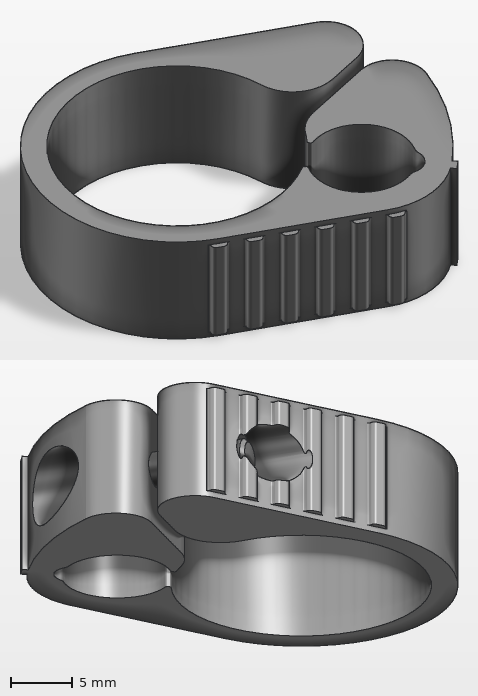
import cadquery as cq
import math

width = 10.0
ring_outer = 12.75
ring_inner = 10.6
crown_radius = 22.5
shoulder_radius = 7.0

screw_angle = math.radians(40)
gap = 1.2
lobe_tip_radius = 3.05
lobe_tip_height = 15.25
lobe_belly_radius = 4.0
nose_radius = 3.1
heel_radius = 3.8

small_bore_radius = 4.5
notch_radius = 1.55
notch_offset = 3.63
notch_blend = 1.0
mouth_width = 3.17
lip_round = 0.15

mark_width = 1.0
mark_height = 0.5

rib_count = 6
rib_pitch = 3.0
rib_height = 0.5
rib_flat = 0.55
rib_crest_radius = 0.42
rib_foot_radius = 0.2
rib_length = width - 2 * rib_height
rib_root = 0.7

screw_diameter = 3.0
screw_offset = -15.8
lobe_seat_diameter = 4.9
lobe_seat_depth = 6.27
hook_seat_diameter = 6.2
hook_seat_depth = 5.0
tip_length = 0.75
tip_chamfer = 0.3


def polar(radius, angle):
    return (radius * math.cos(angle), radius * math.sin(angle))


def offset_point(point, distance, angle):
    step = polar(distance, angle)
    return (point[0] + step[0], point[1] + step[1])


def middle_of_arc(center, radius, start, end):
    """Point halfway round the shorter arc that joins two points of a circle."""
    x = (start[0] + end[0]) / 2 - center[0]
    y = (start[1] + end[1]) / 2 - center[1]
    return offset_point(center, radius, math.atan2(y, x))


def angle_at(distance, depth):
    """Polar angle of a point at this distance from the origin and this depth along the screw axis."""
    return screw_angle + math.acos(depth / distance)


tip_center = (lobe_tip_radius - ring_outer, lobe_tip_height)
tip_along_screw = tip_center[0] * math.cos(screw_angle) + tip_center[1] * math.sin(screw_angle)
lobe_face = tip_along_screw + lobe_tip_radius
belly_distance = ring_inner + lobe_belly_radius
belly_angle = angle_at(belly_distance, lobe_face - lobe_belly_radius)
belly_center = polar(belly_distance, belly_angle)

hook_face = lobe_face + gap
nose_distance = crown_radius - nose_radius
nose_angle = angle_at(nose_distance, hook_face + nose_radius)
nose_center = polar(nose_distance, nose_angle)
heel_distance = ring_inner + heel_radius
heel_angle = angle_at(heel_distance, hook_face + heel_radius)
heel_center = polar(heel_distance, heel_angle)

shoulder_x = ring_outer - shoulder_radius
shoulder_distance = crown_radius - shoulder_radius
bore_angle = math.acos(shoulder_x / shoulder_distance)
shoulder_center = polar(shoulder_distance, bore_angle)

small_bore_distance = ring_inner + small_bore_radius


def body():
    lobe_start = (-ring_outer, lobe_tip_height)
    lobe_face_top = offset_point(tip_center, lobe_tip_radius, screw_angle)
    lobe_face_end = offset_point(belly_center, lobe_belly_radius, screw_angle)
    belly_end = polar(ring_inner, belly_angle)
    heel_start = polar(ring_inner, heel_angle)
    hook_face_end = offset_point(heel_center, -heel_radius, screw_angle)
    hook_face_top = offset_point(nose_center, -nose_radius, screw_angle)
    nose_end = polar(crown_radius, nose_angle)
    crown_end = polar(crown_radius, bore_angle)
    flank_top = (ring_outer, shoulder_center[1])
    tip_crest = offset_point(tip_center, lobe_tip_radius, math.pi / 2)
    belly_middle = middle_of_arc(belly_center, lobe_belly_radius, lobe_face_end, belly_end)
    heel_middle = middle_of_arc(heel_center, heel_radius, heel_start, hook_face_end)
    nose_middle = middle_of_arc(nose_center, nose_radius, hook_face_top, nose_end)
    shoulder_middle = middle_of_arc(shoulder_center, shoulder_radius, crown_end, flank_top)
    return (
        cq.Workplane("XY", origin=(0, 0, -width / 2))
        .moveTo(-ring_outer, 0)
        .lineTo(*lobe_start)
        .threePointArc(tip_crest, lobe_face_top)
        .lineTo(*lobe_face_end)
        .threePointArc(belly_middle, belly_end)
        .threePointArc((0, -ring_inner), heel_start)
        .threePointArc(heel_middle, hook_face_end)
        .lineTo(*hook_face_top)
        .threePointArc(nose_middle, nose_end)
        .threePointArc((0, crown_radius), crown_end)
        .threePointArc(shoulder_middle, flank_top)
        .lineTo(ring_outer, 0)
        .threePointArc((0, -ring_outer), (-ring_outer, 0))
        .close()
        .extrude(width)
    )


def upright_box(inner, outer, breadth):
    """Full-width block on the small bore line, between two distances from the ring centre."""
    block = cq.Workplane("XY").box(outer - inner, breadth, width)
    block = block.translate(((inner + outer) / 2, 0, 0))
    return block.rotate((0, 0, 0), (0, 0, 1), math.degrees(bore_angle))


def upright_cylinder(distance, radius):
    """Full-width cylinder on the small bore line."""
    center = polar(distance, bore_angle)
    return cq.Workplane("XY").circle(radius).extrude(width / 2, both=True).translate((*center, 0))


def round_edges_on_bore(part, offset_from_bore, radius):
    """Round the two upright edges of the small bore at this offset along the small bore line."""
    across = math.sqrt(small_bore_radius**2 - offset_from_bore**2)
    along = small_bore_distance + offset_from_bore
    for side in (-across, across):
        edge = offset_point(polar(along, bore_angle), side, bore_angle + math.pi / 2)
        part = part.edges(cq.NearestToPointSelector((*edge, 0))).fillet(radius)
    return part


def with_small_bore(part):
    part = part.cut(upright_cylinder(small_bore_distance, small_bore_radius))
    part = part.cut(upright_cylinder(small_bore_distance + notch_offset, notch_radius))
    part = part.cut(upright_box(ring_inner - small_bore_radius, small_bore_distance, mouth_width))

    notch_crossing = (small_bore_radius**2 - notch_radius**2 + notch_offset**2) / (2 * notch_offset)
    part = round_edges_on_bore(part, notch_crossing, notch_blend)

    half_mouth = mouth_width / 2
    lip_top = -math.sqrt(small_bore_radius**2 - half_mouth**2)
    part = round_edges_on_bore(part, lip_top, lip_round)
    lip_bottom = math.sqrt(ring_inner**2 - half_mouth**2)
    for side in (-half_mouth, half_mouth):
        edge = offset_point(polar(lip_bottom, bore_angle), side, bore_angle + math.pi / 2)
        part = part.edges(cq.NearestToPointSelector((*edge, 0))).fillet(lip_round)
    return part


def crown_mark():
    return upright_box(crown_radius - mark_height, crown_radius + mark_height, mark_width)


def rib():
    """Rib on the right flank: a flat top, rounded crests and filleted feet, tangent throughout."""
    lean = math.acos(1 - rib_height / (rib_crest_radius + rib_foot_radius))
    crest_y = rib_flat / 2
    join_y = crest_y + rib_crest_radius * math.sin(lean)
    foot_y = join_y + rib_foot_radius * math.sin(lean)
    top_x = ring_outer + rib_height
    join_x = ring_outer + rib_foot_radius * (1 - math.cos(lean))
    crest_middle = offset_point((top_x - rib_crest_radius, crest_y), rib_crest_radius, lean / 2)
    foot_middle = offset_point((ring_outer + rib_foot_radius, foot_y), -rib_foot_radius, lean / 2)
    half = (
        cq.Workplane("XY", origin=(0, 0, -rib_length / 2))
        .moveTo(ring_outer - rib_root, 0)
        .lineTo(top_x, 0)
        .lineTo(top_x, crest_y)
        .threePointArc(crest_middle, (join_x, join_y))
        .threePointArc(foot_middle, (ring_outer, foot_y))
        .lineTo(ring_outer - rib_root, foot_y)
        .close()
        .extrude(rib_length)
    )
    return half.union(half.mirror("XZ"))


def with_ribs(part):
    right_rib = rib()
    left_rib = right_rib.mirror("YZ")
    for index in range(rib_count):
        shift = (0, index * rib_pitch, 0)
        part = part.union(right_rib.translate(shift)).union(left_rib.translate(shift))
    return part


def screw_plane(depth):
    """Plane across the screw axis at this depth along it, facing from the lobe to the hook."""
    along_gap = polar(screw_offset, screw_angle - math.pi / 2)
    center = offset_point(along_gap, depth, screw_angle)
    axis = (*polar(1, screw_angle), 0)
    return cq.Workplane(cq.Plane(origin=(*center, 0), xDir=(0, 0, 1), normal=axis))


def with_screw(part):
    lobe_seat = lobe_face - lobe_seat_depth
    hook_seat = hook_face + hook_seat_depth
    screw_length = tip_length + hook_seat - lobe_seat
    lobe_pocket = screw_plane(lobe_seat).circle(lobe_seat_diameter / 2).extrude(-width)
    hook_pocket = screw_plane(hook_seat).circle(hook_seat_diameter / 2).extrude(width)
    screw = screw_plane(lobe_seat - tip_length).circle(screw_diameter / 2).extrude(screw_length)
    screw = screw.faces("<X").edges().chamfer(tip_chamfer)
    return part.cut(lobe_pocket).cut(hook_pocket).union(screw)


bored_body = with_small_bore(body())
ribbed_body = with_ribs(bored_body.union(crown_mark()))
result = with_screw(ribbed_body)